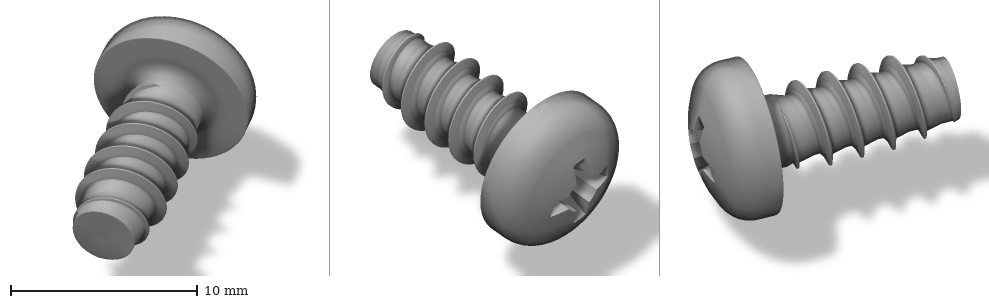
import cadquery as cq
import math


head_radius = 4.4
bearing_edge_round = 0.07
rim_top = 1.05
corner_radius = 1.76
dome_start_radius = 3.5
dome_apex = 3.53

recess_wing_width = 0.95
recess_wing_radius = 2.38
recess_core_radius = 1.14
recess_depth = 2.3
recess_wall_angle = 26.5

shank_length = 11.0
neck_radius = 2.01
neck_fillet = 0.7
neck_end = -1.2
core_radius = 1.745
core_start = -2.0
dimple_radius = 1.65
dimple_depth = 0.1

thread_radius = 2.5
pitch = 1.8
first_crest = -0.645
thread_start = 0.06
lead_in_end = 1.36
lead_out_start = 4.25
relief_fade_start = 4.75
thread_end = 5.8
lead_in_slope = 0.34
lead_out_slope = 0.495
relief_fade_slope = 0.2
span_count = 12
span_steps = 12

crest_half_width = 0.04
flank_height = 0.5
flank_width = 0.18
flank_root_offset = crest_half_width + flank_width
skirt_offset = 0.42
relief_offset = -1.06
relief_slope = 0.23
foot_overlap = 0.04
buried_radius = 1.1


def make_head_and_shank():
    """Revolve the screw blank, without thread and recess."""
    corner_x = head_radius - corner_radius
    corner_rise = math.sqrt(corner_radius**2 - (dome_start_radius - corner_x) ** 2)
    dome_start = rim_top + corner_rise
    corner_mid_angle = math.atan2(corner_rise, dome_start_radius - corner_x) / 2
    corner_mid = (
        corner_x + corner_radius * math.cos(corner_mid_angle),
        rim_top + corner_radius * math.sin(corner_mid_angle),
    )

    dome_height = dome_apex - dome_start
    dome_radius = (dome_start_radius**2 + dome_height**2) / (2 * dome_height)
    dome_mid_x = dome_start_radius / 2
    dome_mid = (dome_mid_x, dome_apex - dome_radius + math.sqrt(dome_radius**2 - dome_mid_x**2))

    profile = (
        cq.Workplane("XY")
        .moveTo(0, dome_apex)
        .threePointArc(dome_mid, (dome_start_radius, dome_start))
        .threePointArc(corner_mid, (head_radius, rim_top))
        .lineTo(head_radius, bearing_edge_round)
        .radiusArc((head_radius - bearing_edge_round, 0), bearing_edge_round)
        .lineTo(neck_radius + neck_fillet, 0)
        .radiusArc((neck_radius, -neck_fillet), -neck_fillet)
        .lineTo(neck_radius, neck_end)
        .lineTo(core_radius, core_start)
        .lineTo(core_radius, -shank_length)
        .lineTo(dimple_radius, -shank_length)
        .lineTo(0, -shank_length + dimple_depth)
        .close()
    )
    return profile.revolve(360, (0, 0, 0), (0, 1, 0))


def make_recess():
    """Four wings around a round centre, narrowing toward the bottom."""
    bottom = dome_apex - recess_depth
    bottom_radius = recess_wing_radius - recess_depth * math.tan(math.radians(recess_wall_angle))
    wing_length = 2 * recess_wing_radius
    envelope = (
        cq.Workplane("XY")
        .polyline([(0, bottom), (bottom_radius, bottom), (recess_wing_radius, dome_apex), (0, dome_apex)])
        .close()
        .revolve(360, (0, 0, 0), (0, 1, 0))
    )
    floor = cq.Workplane("XZ", origin=(0, bottom, 0))
    cross = (
        floor.rect(wing_length, recess_wing_width)
        .extrude(-recess_depth)
        .union(floor.rect(recess_wing_width, wing_length).extrude(-recess_depth))
        .union(floor.circle(recess_core_radius).extrude(-recess_depth))
    )
    return envelope.intersect(cross)


def thread_section(turn):
    """Corners (offset, radius) of the thread section after a number of turns.

    The crest grows at the neck and fades at the tip, where the relief fades too.
    """
    crest = thread_radius
    crest -= lead_in_slope * max(0, lead_in_end - turn)
    crest -= lead_out_slope * max(0, turn - lead_out_start)
    flank_root = crest - flank_height
    skirt_slope = (thread_radius - flank_height - core_radius) / (skirt_offset - flank_root_offset)
    skirt_foot_offset = skirt_offset + foot_overlap / skirt_slope
    skirt_foot = flank_root - skirt_slope * (skirt_foot_offset - flank_root_offset)

    relief_fade = relief_fade_slope * max(0, turn - relief_fade_start)
    relief_at_crest = core_radius - relief_fade - relief_slope * (relief_offset + crest_half_width)
    blade_drop = (crest - relief_at_crest) / (1 - relief_slope * flank_width / flank_height)
    relief_top = crest - blade_drop
    relief_top_offset = -crest_half_width - blade_drop * flank_width / flank_height
    relief_foot_offset = relief_offset - foot_overlap / relief_slope
    relief_foot = core_radius - foot_overlap - relief_fade

    return [
        (skirt_foot_offset, buried_radius),
        (skirt_foot_offset, skirt_foot),
        (flank_root_offset, flank_root),
        (crest_half_width, crest),
        (-crest_half_width, crest),
        (relief_top_offset, relief_top),
        (relief_foot_offset, relief_foot),
        (relief_foot_offset, buried_radius),
    ]


def thread_corners(turn):
    """Corners of the thread section as points in space."""
    angle = 2 * math.pi * turn
    crest_y = first_crest - pitch * turn
    return [
        cq.Vector(radius * math.cos(angle), crest_y + offset, radius * math.sin(angle))
        for offset, radius in thread_section(turn)
    ]


def thread_cap(turn):
    """Flat face that closes the thread."""
    return cq.Face.makeFromWires(cq.Wire.makePolygon(thread_corners(turn), close=True))


def make_thread():
    """Helical ridge, trimmed to the length between neck and tip."""
    faces = []
    span = (thread_end - thread_start) / span_count
    for i in range(span_count):
        span_start = thread_start + span * i
        stations = [thread_corners(span_start + span * j / span_steps) for j in range(span_steps + 1)]
        edges = [cq.Edge.makeSpline(list(path)) for path in zip(*stations)]
        for k in range(len(edges)):
            faces.append(cq.Face.makeRuledSurface(edges[k - 1], edges[k]))
    faces.append(thread_cap(thread_start))
    faces.append(thread_cap(thread_end))
    ridge = cq.Solid.makeSolid(cq.Shell.makeShell(faces)).fix()

    threaded_zone = (
        cq.Workplane("XZ", origin=(0, neck_end, 0))
        .circle(head_radius)
        .circle((dimple_radius + core_radius) / 2)
        .extrude(shank_length + neck_end)
    )
    return threaded_zone.intersect(cq.Workplane(ridge))


result = make_head_and_shank().union(make_thread()).cut(make_recess())